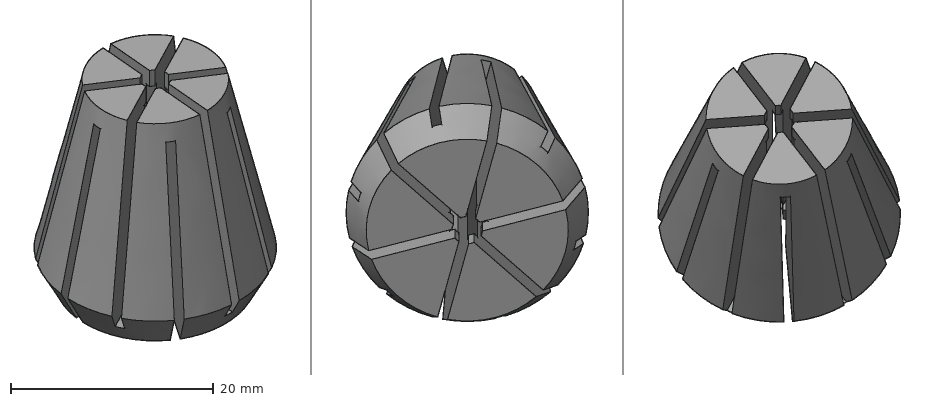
import cadquery as cq

height = 25.0
shoulder_height = 4.0
bottom_diameter = 20.0
shoulder_diameter = 24.0
top_diameter = 14.5
bore_diameter = 3.0

slot_width = 1.0
slots_per_set = 6
web_thickness = 2.0
slot_pitch = 360.0 / slots_per_set
top_slot_start_angle = slot_pitch / 2
bottom_slot_start_angle = 0.0


def make_body():
    """Double cone turned about Z, with the bore along its axis."""
    bore_radius = bore_diameter / 2
    profile = (
        cq.Workplane("XZ")
        .moveTo(bore_radius, 0)
        .lineTo(bottom_diameter / 2, 0)
        .lineTo(shoulder_diameter / 2, shoulder_height)
        .lineTo(top_diameter / 2, height)
        .lineTo(bore_radius, height)
        .close()
    )
    return profile.revolve(360, (0, 0, 0), (0, 1, 0))


def cut_slots(body, start_angle, floor_height):
    """Cut one slot set, running from the bore out through the side."""
    slot_length = shoulder_diameter
    slot_depth = height - web_thickness
    slot = cq.Workplane("XY").box(slot_length, slot_width, slot_depth, centered=(False, True, False))
    slot = slot.translate((0, 0, floor_height))
    for index in range(slots_per_set):
        angle = start_angle + index * slot_pitch
        body = body.cut(slot.rotate((0, 0, 0), (0, 0, 1), angle))
    return body


result = make_body()
result = cut_slots(result, top_slot_start_angle, web_thickness)
result = cut_slots(result, bottom_slot_start_angle, 0)